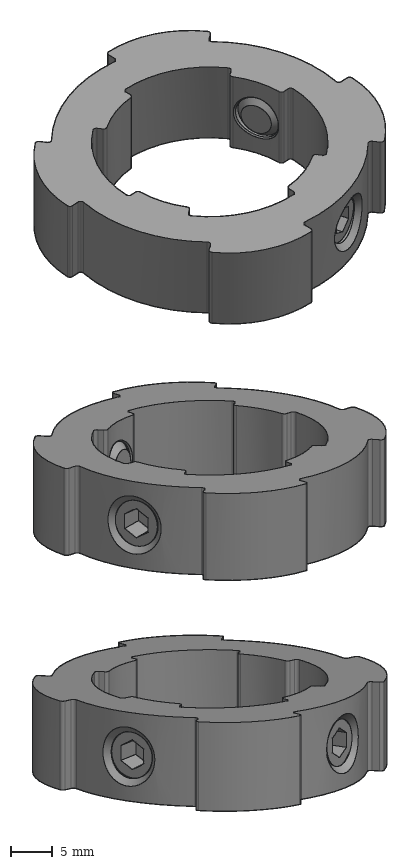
import cadquery as cq
import math

outer_radius = 21.5
root_radius = 19.0
bore_radius = 14.2
land_radius = 12.65
ring_height = 11.0
tooth_count = 4
tooth_arc_radius = 13.75
flank_half_angle = 28.8
flank_fillet = 0.45

screw_diameter = 5.75
screw_length = 5.95
tip_diameter = 4.1
hex_flats = 3.2
hex_depth = 3.45
outer_hole_chamfer = 0.77
inner_hole_chamfer = 0.17
screw_places = [(45.0, 11.95), (135.0, 12.3)]

tip_chamfer = (screw_diameter - tip_diameter) / 2
hex_corners = hex_flats / math.cos(math.pi / 6)


def sector_points(radius, half_angle):
    """Points at the start, middle and end of an arc centred on the X axis."""
    angles = [math.radians(a) for a in (-half_angle, 0, half_angle)]
    return [(radius * math.cos(a), radius * math.sin(a)) for a in angles]


def sector(inner_radius, sector_radius, half_angle):
    """Ring segment with radial flanks, centred on the X axis."""
    inner = sector_points(inner_radius, half_angle)
    outer = sector_points(sector_radius, half_angle)
    return (
        cq.Workplane("XY")
        .moveTo(*inner[0])
        .lineTo(*outer[0])
        .threePointArc(outer[1], outer[2])
        .lineTo(*inner[2])
        .threePointArc(inner[1], inner[0])
        .close()
        .extrude(ring_height)
    )


def along_radius(body, direction):
    """Turn a body that lies along the Z axis onto a radius at mid height."""
    return (
        body.rotate((0, 0, 0), (0, 1, 0), 90)
        .translate((0, 0, ring_height / 2))
        .rotate((0, 0, 0), (0, 0, 1), direction)
    )


def make_profile():
    """Toothed ring with grooved bore and rounded flanks, without screw holes."""
    ring = cq.Workplane("XY").circle(root_radius).circle(land_radius).extrude(ring_height)
    wall_middle = (root_radius + bore_radius) / 2
    bore_middle = land_radius / 2
    tooth_arc_center = outer_radius - tooth_arc_radius
    for index in range(tooth_count):
        turn = index * 360 / tooth_count
        tooth = sector(wall_middle - tooth_arc_center, tooth_arc_radius, flank_half_angle)
        tooth = tooth.translate((tooth_arc_center, 0, 0))
        groove = sector(bore_middle, bore_radius, flank_half_angle)
        ring = ring.union(tooth.rotate((0, 0, 0), (0, 0, 1), turn))
        ring = ring.cut(groove.rotate((0, 0, 0), (0, 0, 1), turn))
    return ring.edges("|Z").fillet(flank_fillet)


def chamfer_rim(ring, rim_radius, direction, size):
    """Chamfer the mouth of a screw hole at the given distance from the ring axis."""
    angle = math.radians(direction)
    rim_center = (rim_radius * math.cos(angle), rim_radius * math.sin(angle), ring_height / 2)
    return ring.edges(cq.NearestToPointSelector(rim_center)).chamfer(size)


def make_ring():
    """Ring with a radial hole, chamfered at both mouths, for each set screw."""
    ring = make_profile()
    for direction, _ in screw_places:
        hole = cq.Workplane("XY").circle(screw_diameter / 2).extrude(outer_radius)
        ring = ring.cut(along_radius(hole, direction))
        ring = chamfer_rim(ring, root_radius, direction, outer_hole_chamfer)
        ring = chamfer_rim(ring, land_radius, direction, inner_hole_chamfer)
    return ring


def make_screw(direction, tip_distance):
    """Set screw with a conical flat tip facing the ring axis and a hex socket outside."""
    screw = cq.Workplane("XY").circle(screw_diameter / 2).extrude(screw_length)
    screw = screw.faces("<Z").chamfer(tip_chamfer)
    socket = (
        cq.Workplane("XY", origin=(0, 0, screw_length))
        .polygon(6, hex_corners)
        .extrude(-hex_depth)
    )
    screw = screw.cut(socket).translate((0, 0, tip_distance))
    return along_radius(screw, direction)


ring = make_ring()
screws = [make_screw(direction, tip_distance) for direction, tip_distance in screw_places]

result = cq.Compound.makeCompound([ring.val(), *[screw.val() for screw in screws]])